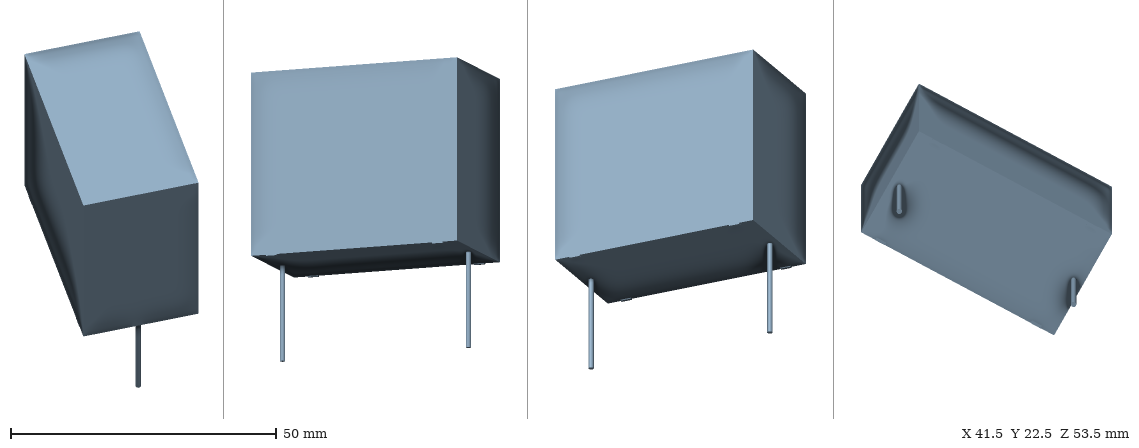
import cadquery as cq

body_length = 41.5
body_width = 22.5
total_height = 53.5
pin_drop = 18.3
body_height = total_height - pin_drop

pin_diameter = 1.0
pin_spacing = 37.5

foot_length = 2.15
foot_width = 0.6
foot_height = 0.2
foot_end_inset = 2.95


def make_body():
    """Plain block with its underside on Z = 0."""
    return cq.Workplane("XY").box(body_length, body_width, body_height, centered=(True, True, False))


def make_pins():
    """Two round pins on the long centre line, hanging from the underside."""
    return (
        cq.Workplane("XY")
        .rarray(pin_spacing, 0.55, 2, 1)
        .circle(pin_diameter / 2)
        .extrude(-pin_drop)
    )


def make_feet():
    """Four feet, flush with the long side faces and set in from the ends."""
    foot_spacing_x = body_length - 2 * foot_end_inset - foot_length
    foot_spacing_y = body_width - foot_width
    return (
        cq.Workplane("XY")
        .rarray(foot_spacing_x, foot_spacing_y, 2, 2)
        .rect(foot_length, foot_width)
        .extrude(-foot_height)
    )


result = make_body().union(make_pins()).union(make_feet())